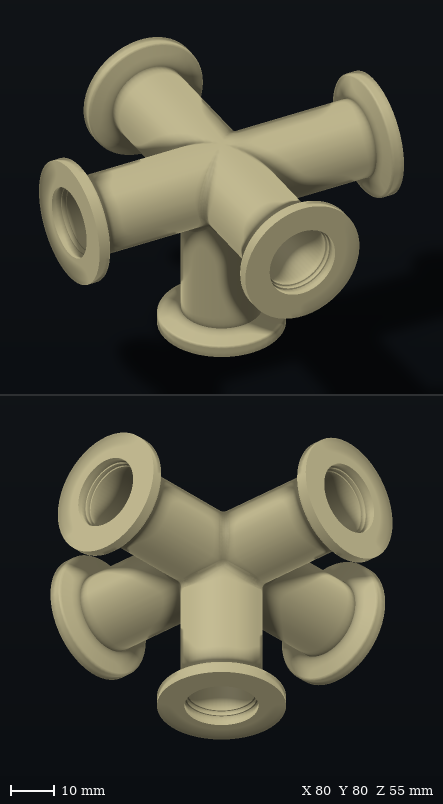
import cadquery as cq

FLANGE_FACE = 40.0

TUBE_OD = 19.0
TUBE_BORE = 15.8
CROTCH_FILLET = 1.5

FLANGE_OD = 30.0
RIM_CORNER = 2.9
RIM_FILLET = 0.6
FLANGE_LENGTH = 4.4
FACE_BORE = 17.2
FACE_BORE_DEPTH = 2.4
LIP_BORE = 16.5
SOCKET_BORE = 19.3
SOCKET_FLOOR = 3.5

TUBE_REACH = FLANGE_FACE - SOCKET_FLOOR

ARM_DIRECTIONS = [
    cq.Vector(1, 0, 0),
    cq.Vector(-1, 0, 0),
    cq.Vector(0, 1, 0),
    cq.Vector(0, -1, 0),
    cq.Vector(0, 0, -1),
]


def make_arms(diameter):
    """Union of round bars running from the centre of the cross to the end of each tube."""
    arms = cq.Workplane()
    for direction in ARM_DIRECTIONS:
        arm = cq.Solid.makeCylinder(diameter / 2, TUBE_REACH, cq.Vector(), direction)
        arms = arms.union(cq.Workplane(arm))
    return arms


def make_tube_cross():
    """Tube cross with filleted outer seams and connected bores."""
    outside = make_arms(TUBE_OD).edges("%ELLIPSE").fillet(CROTCH_FILLET)
    return outside.cut(make_arms(TUBE_BORE))


def make_flange(direction):
    """Clamp flange whose axis runs from its outer face back to the centre of the cross."""
    axis = -direction
    radial = cq.Vector(direction.y, direction.z, direction.x)
    section = cq.Plane(origin=direction * FLANGE_FACE, xDir=radial, normal=radial.cross(axis))
    profile = [
        (FACE_BORE / 2, 0),
        (FLANGE_OD / 2, 0),
        (FLANGE_OD / 2, RIM_CORNER),
        (SOCKET_BORE / 2, FLANGE_LENGTH),
        (SOCKET_BORE / 2, SOCKET_FLOOR),
        (LIP_BORE / 2, SOCKET_FLOOR),
        (LIP_BORE / 2, FACE_BORE_DEPTH),
        (FACE_BORE / 2, FACE_BORE_DEPTH),
    ]
    flange = cq.Workplane(section).polyline(profile).close().revolve(360, (0, 0), (0, 1))
    rim_corner = cq.selectors.RadiusNthSelector(-1)
    back_edges = flange.faces("%CONE").edges(rim_corner)
    return back_edges.fillet(RIM_FILLET)


tube_cross = make_tube_cross()
flanges = [make_flange(direction) for direction in ARM_DIRECTIONS]

result = cq.Compound.makeCompound([tube_cross.val(), *[flange.val() for flange in flanges]])